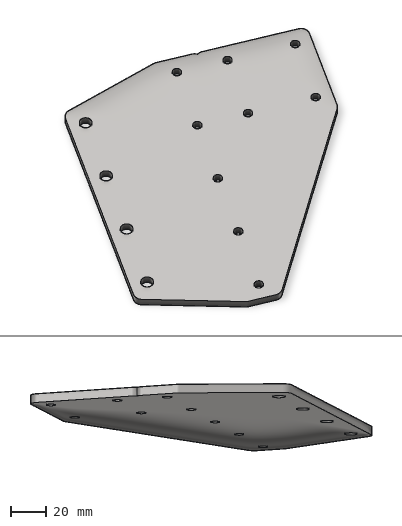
import cadquery as cq
import math

length = 180.0
grid = length / 9
width = 7.5 * grid
thickness = 5.0
corner_radius = 5.0

shoulder_height = 3 * grid
taper_inset = grid
top_edge_length = 3 * grid
right_side_top = 4 * grid

notch_height = 4.25 * grid
notch_half_width = 3.0
notch_depth = corner_radius - math.sqrt(corner_radius**2 - notch_half_width**2)

hole_pitch = 2 * grid
edge_margin = grid / 2
small_hole_diameter = 5.2
large_hole_diameter = 7.2
large_hole_start = 1.5 * grid
long_row_height = 3.5 * grid
short_row_heights = [width - edge_margin - row * hole_pitch for row in range(2)]


def rounded_plate():
    """Plate with all outline corners rounded, lower left at the origin."""
    corners = [
        (taper_inset, 0),
        (length - taper_inset, 0),
        (length, shoulder_height),
        (length, right_side_top),
        (top_edge_length, width),
        (0, width),
        (0, shoulder_height),
    ]
    plate = cq.Workplane("XY").polyline(corners).close().extrude(thickness)
    return plate.edges("|Z").fillet(corner_radius)


def notch():
    """Cutter bounded by two arcs, each tangent to the left side."""
    arc_angle = math.asin(notch_half_width / corner_radius)
    mid_depth = corner_radius * (1 - math.cos(arc_angle / 2))
    mid_offset = notch_half_width - corner_radius * math.sin(arc_angle / 2)
    return (
        cq.Workplane("XY")
        .moveTo(0, notch_height - notch_half_width)
        .threePointArc((mid_depth, notch_height - mid_offset), (notch_depth, notch_height))
        .threePointArc((mid_depth, notch_height + mid_offset), (0, notch_height + notch_half_width))
        .close()
        .extrude(thickness)
    )


def hole_row(first_x, height, count, diameter):
    """Cylinders for a row of evenly spaced through holes."""
    centers = [(first_x + i * hole_pitch, height) for i in range(count)]
    return cq.Workplane("XY").pushPoints(centers).circle(diameter / 2).extrude(thickness)


result = rounded_plate().cut(notch())
result = result.cut(hole_row(large_hole_start, edge_margin, 4, large_hole_diameter))
result = result.cut(hole_row(edge_margin, long_row_height, 5, small_hole_diameter))
for row_height in short_row_heights:
    result = result.cut(hole_row(edge_margin, row_height, 2, small_hole_diameter))